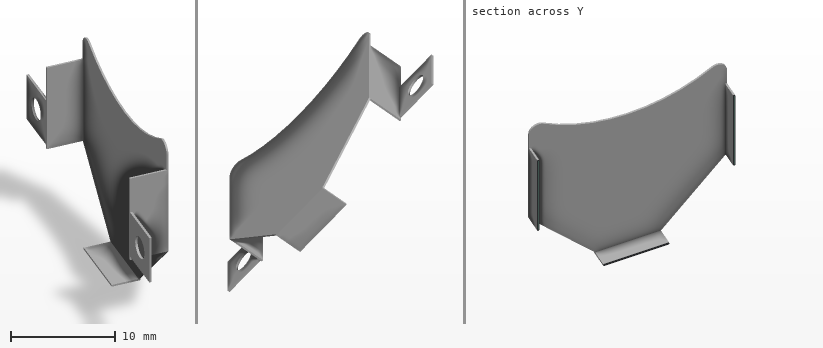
import cadquery as cq
import math

overall_width = 30.73
overall_depth = 4.0
overall_height = 19.82
sheet = 0.2

plate_width = 21.02
corner_radius = 1.0
notch_bottom = 17.2

wall_bottom = 7.62
wall_top = 17.0

foot_thickness = 0.25
foot_bottom = 8.02
foot_top = 13.12
hole_diameter = 2.3
hole_x = 12.97

lip_width = 7.0
lip_depth = 2.98

half_plate = plate_width / 2
half_lip = lip_width / 2

corner_x = half_plate - corner_radius
corner_z = overall_height - corner_radius
corner_rise = corner_z - notch_bottom
notch_radius = (corner_x**2 + corner_rise**2 - corner_radius**2) / (2 * (corner_radius + corner_rise))
notch_center_z = notch_bottom + notch_radius
tangent_share = corner_radius / (corner_radius + notch_radius)
tangent_x = corner_x * (1 - tangent_share)
tangent_z = corner_z + (notch_center_z - corner_z) * tangent_share

side_angle = math.pi
tangent_angle = math.atan2(notch_center_z - corner_z, corner_x)
mid_angle = (side_angle + tangent_angle) / 2
corner_mid_x = corner_x - corner_radius * math.cos(mid_angle)
corner_mid_z = corner_z + corner_radius * math.sin(mid_angle)


def block(x_min, x_max, y_min, y_max, z_min, z_max):
    """Box spanning the given limits."""
    size = (x_max - x_min, y_max - y_min, z_max - z_min)
    return cq.Workplane("XY").box(*size, centered=False).translate((x_min, y_min, z_min))


def make_plate():
    """Main plate: tapered at the bottom, scooped at the top."""
    return (
        cq.Workplane("XZ")
        .moveTo(-half_lip, 0)
        .lineTo(half_lip, 0)
        .lineTo(half_lip, sheet)
        .lineTo(half_plate, wall_bottom)
        .lineTo(half_plate, corner_z)
        .threePointArc((corner_mid_x, corner_mid_z), (tangent_x, tangent_z))
        .threePointArc((0, notch_bottom), (-tangent_x, tangent_z))
        .threePointArc((-corner_mid_x, corner_mid_z), (-half_plate, corner_z))
        .lineTo(-half_plate, wall_bottom)
        .lineTo(-half_lip, sheet)
        .close()
        .extrude(sheet)
    )


def make_bracket():
    """Right-hand side wall with its outward mounting foot."""
    wall = block(half_plate - sheet, half_plate, -overall_depth, 0, wall_bottom, wall_top)
    foot = block(
        half_plate - sheet, overall_width / 2,
        -overall_depth, foot_thickness - overall_depth,
        foot_bottom, foot_top,
    )
    hole = (
        cq.Workplane("XZ")
        .center(hole_x, (foot_bottom + foot_top) / 2)
        .circle(hole_diameter / 2)
        .extrude(overall_depth)
    )
    return wall.union(foot.cut(hole))


bracket = make_bracket()
lip = block(-half_lip, half_lip, -lip_depth, 0, 0, sheet)
result = make_plate().union(lip).union(bracket).union(bracket.mirror("YZ"))